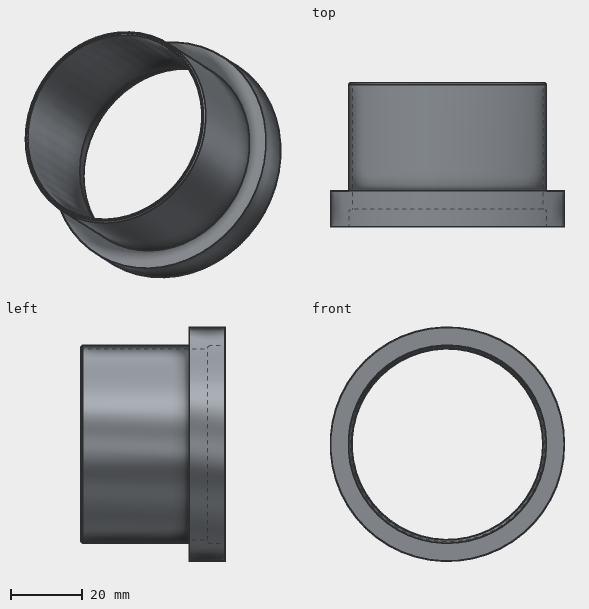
import cadquery as cq

FLANGE_DIAMETER = 65.0
FLANGE_LENGTH = 10.0
SLEEVE_DIAMETER = 55.0
TOTAL_LENGTH = 40.0
BORE_DIAMETER = 53.0
COUNTERBORE_DIAMETER = 55.0
COUNTERBORE_DEPTH = 5.0
SLEEVE_END_CHAMFER = 0.5

COUNTERBORE_ROUND = (COUNTERBORE_DIAMETER - BORE_DIAMETER) / 2


def cylinder_along_y(diameter, length):
    """Cylinder from the flange face (Y = 0) towards +Y."""
    return cq.Workplane("XZ").circle(diameter / 2).extrude(-length)


def make_body():
    """Sleeve with a chamfered far end and a flange at the near end."""
    sleeve = cylinder_along_y(SLEEVE_DIAMETER, TOTAL_LENGTH)
    sleeve = sleeve.faces(">Y").edges().chamfer(SLEEVE_END_CHAMFER)
    return sleeve.union(cylinder_along_y(FLANGE_DIAMETER, FLANGE_LENGTH))


def make_stepped_bore():
    """Through bore and counterbore, revolved from a half profile."""
    bore_radius = BORE_DIAMETER / 2
    counterbore_radius = COUNTERBORE_DIAMETER / 2
    round_start = COUNTERBORE_DEPTH - COUNTERBORE_ROUND
    diagonal = COUNTERBORE_ROUND * 0.5**0.5
    return (
        cq.Workplane("XY")
        .lineTo(counterbore_radius, 0)
        .lineTo(counterbore_radius, round_start)
        .threePointArc(
            (bore_radius + diagonal, round_start + diagonal),
            (bore_radius, COUNTERBORE_DEPTH),
        )
        .lineTo(bore_radius, TOTAL_LENGTH)
        .lineTo(0, TOTAL_LENGTH)
        .close()
        .revolve(360, (0, 0), (0, 1))
    )


result = make_body().cut(make_stepped_bore())